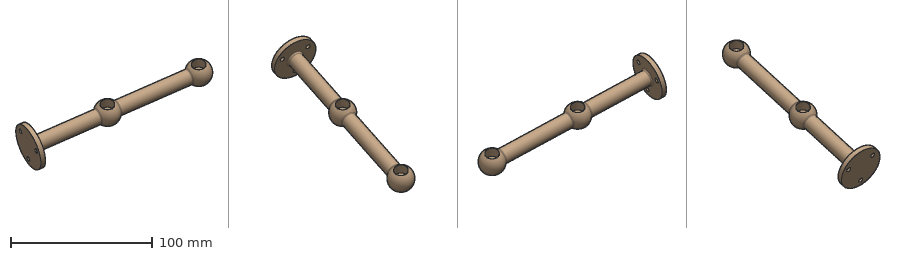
import cadquery as cq
import math

total_length = 149.9

flange_diameter = 35.0
flange_thickness = 3.9
flange_blend_radius = 1.0
screw_hole_diameter = 3.5
screw_circle_diameter = 25.0
screw_hole_count = 3
first_screw_angle = -90.0

post_diameter = 12.0
ball_diameter = 20.0
ball_spacing = 75.0
ball_blend_radius = 0.7
ball_radius = ball_diameter / 2
end_ball_y = total_length - ball_radius
middle_ball_y = end_ball_y - ball_spacing
ball_positions = (middle_ball_y, end_ball_y)

flat_height = 8.5
socket_diameter = 10.2
socket_depth = flat_height
drill_point_angle = 118.0


def make_flange():
    """Round plate with its face on Y = 0, drilled with a ring of screw holes."""
    plate = cq.Workplane("XZ").circle(flange_diameter / 2).extrude(-flange_thickness)
    holes = (
        cq.Workplane("XZ")
        .polarArray(screw_circle_diameter / 2, first_screw_angle, 360, screw_hole_count)
        .circle(screw_hole_diameter / 2)
        .extrude(-flange_thickness)
    )
    return plate.cut(holes)


def make_post():
    """Straight rod from the flange face to the centre of the end ball."""
    return cq.Workplane("XZ").circle(post_diameter / 2).extrude(-end_ball_y)


def make_ball(y):
    """Ball centred on the post axis, its poles on that axis."""
    profile = (
        cq.Workplane("XY")
        .moveTo(0, y - ball_radius)
        .threePointArc((ball_radius, y), (0, y + ball_radius))
        .close()
    )
    return profile.revolve(360, (0, 0, 0), (0, 1, 0))


def make_socket_cutter(y):
    """Everything above the ball's flat, plus a drilled hole with a conical bottom."""
    socket_radius = socket_diameter / 2
    point_length = socket_radius / math.tan(math.radians(drill_point_angle / 2))
    hole_bottom = flat_height - socket_depth
    profile = (
        cq.Workplane("XZ", origin=(0, y, 0))
        .moveTo(0, hole_bottom - point_length)
        .lineTo(socket_radius, hole_bottom)
        .lineTo(socket_radius, flat_height)
        .lineTo(ball_radius, flat_height)
        .lineTo(ball_radius, ball_radius)
        .lineTo(0, ball_radius)
        .close()
    )
    return profile.revolve(360, (0, 0, 0), (0, 1, 0))


def post_joint_edges(body, start_y, end_y):
    """Circles of post diameter lying between two places along the post."""
    joints = []
    for edge in body.edges("%CIRCLE").vals():
        on_post = math.isclose(edge.radius(), post_diameter / 2, rel_tol=1e-3)
        if on_post and start_y < edge.Center().y < end_y:
            joints.append(edge)
    return body.newObject(joints)


result = make_flange().union(make_post())
for ball_y in ball_positions:
    result = result.union(make_ball(ball_y))

flange_joint_limit = 2 * flange_thickness
result = post_joint_edges(result, 0, flange_joint_limit).fillet(flange_blend_radius)
result = post_joint_edges(result, middle_ball_y - ball_radius, end_ball_y).fillet(ball_blend_radius)

for ball_y in ball_positions:
    result = result.cut(make_socket_cutter(ball_y))